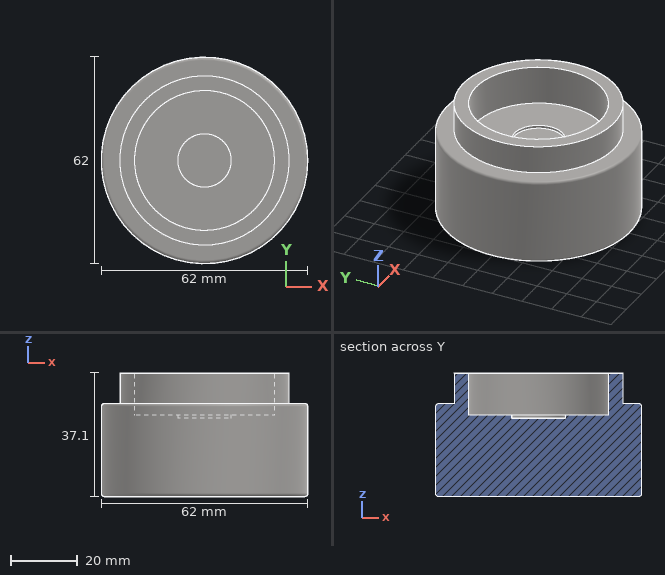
import cadquery as cq

body_diameter = 62.0
total_height = 37.1
collar_height = 9.05
collar_diameter = 50.8
edge_radius = 1.0
pocket_diameter = 42.0
pocket_depth = 12.5
recess_diameter = 16.0
recess_depth = 1.0

body_height = total_height - collar_height
pocket_floor = total_height - pocket_depth


def cylinder(diameter, bottom, height):
    """Upright cylinder on the Z axis, starting at the given height."""
    return cq.Workplane("XY").workplane(offset=bottom).circle(diameter / 2).extrude(height)


body = cylinder(body_diameter, 0, body_height).edges().fillet(edge_radius)

collar = cylinder(collar_diameter, body_height, collar_height)

pocket = cylinder(pocket_diameter, pocket_floor, pocket_depth)
recess = cylinder(recess_diameter, pocket_floor - recess_depth, recess_depth)

result = body.union(collar).cut(pocket).cut(recess)